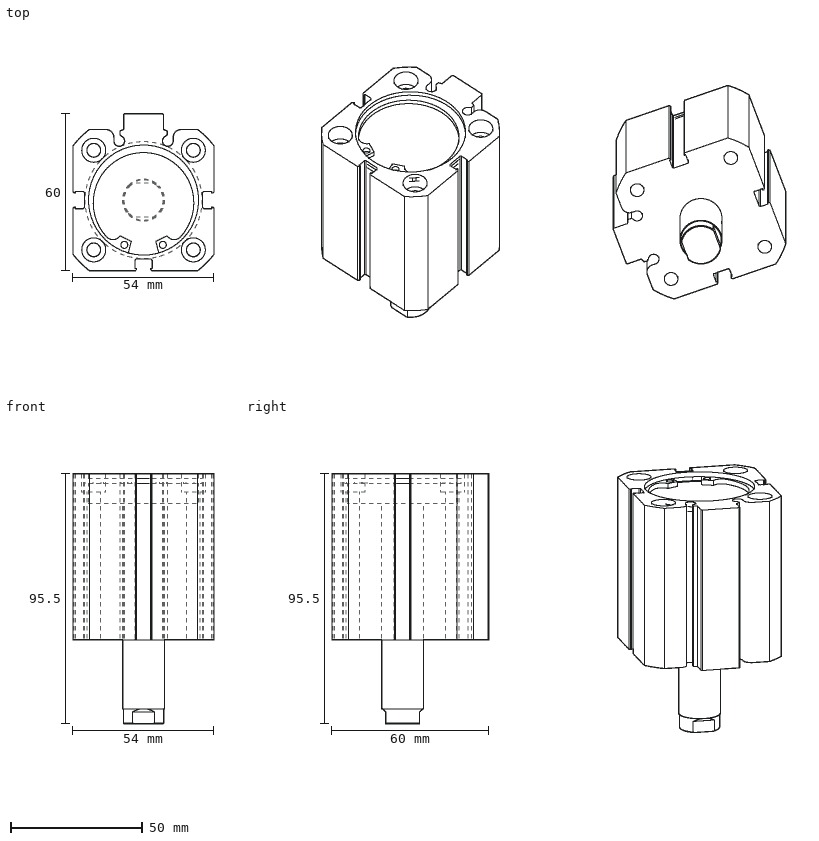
import cadquery as cq
import math


total_length = 95.5
total_depth = 60.0
body_width = 54.0
body_length = 63.5
half_body = body_width / 2
corner_radius = 34.0

slot_depth = 4.4
slot_half_width = 3.2
slot_mouth_half_width = 2.7
slot_lip_depth = 1.0
slot_mouth_bevel = 0.5
slot_floor_chamfer = 0.4

rail_top = total_depth - half_body
rail_half_width = 7.6
rail_corner_chamfer = 0.4
rail_bead_half_width = 9.1
rail_bead_top = 26.4
rail_bead_bottom = 24.9
relief_radius = 2.0
relief_x = 9.3
relief_y = 22.5
relief_entry_angle = math.radians(65)
shoulder_radius = 3.15

hole_offset = 19.0
hole_radius = 2.6
counterbore_radius = 4.6
counterbore_depth = 7.0

bore_radius = 21.0
ring_drop = 1.9
ring_thickness = 1.9
groove_radius = 22.3
cover_thickness = 7.6
ring_top = body_length - ring_drop
ring_bottom = ring_top - ring_thickness
cover_bottom = ring_bottom - cover_thickness

ring_opening_radius = 19.2
ring_opening_y = -1.05
ear_outer_corner = (9.0, -13.7)
ear_inner_corner = (4.7, -15.8)
ear_hollow_middle = (12.0, -15.1)
ear_hollow_end_x = 14.1
ear_hole_x = 7.4
ear_hole_y = -17.1
ear_hole_radius = 1.3
gap_angle = math.radians(16)

rod_radius = 8.0
tip_radius = 7.7
tip_length = 5.7
tip_chamfer = 0.3
flat_distance = 6.5
rod_end = body_length - total_length
tip_top = rod_end + tip_length


def both_sides(x, y):
    """Return a point and its mirror image across the YZ plane."""
    return [(x, y), (-x, y)]


def make_profile():
    """Square block with turned corners and the guide rail on its +Y side."""
    block = cq.Workplane("XY").rect(body_width, body_width).extrude(body_length)
    block = block.intersect(cq.Workplane("XY").circle(corner_radius).extrude(body_length))

    relief_left = relief_x + relief_radius
    shoulder_bottom = half_body - shoulder_radius
    shoulder_diagonal = shoulder_radius * (1 - math.sqrt(0.5))
    entry = (
        relief_x - relief_radius * math.cos(relief_entry_angle),
        relief_y + relief_radius * math.sin(relief_entry_angle),
    )
    side_trim = (
        cq.Workplane("XY")
        .moveTo(relief_left + shoulder_radius, half_body)
        .threePointArc(
            (relief_left + shoulder_diagonal, half_body - shoulder_diagonal),
            (relief_left, shoulder_bottom),
        )
        .lineTo(relief_left, relief_y)
        .threePointArc((relief_x, relief_y - relief_radius), (relief_x - relief_radius, relief_y))
        .threePointArc(
            (
                relief_x - relief_radius * math.cos(relief_entry_angle / 2),
                relief_y + relief_radius * math.sin(relief_entry_angle / 2),
            ),
            entry,
        )
        .lineTo(rail_bead_half_width, rail_bead_bottom)
        .lineTo(rail_bead_half_width, rail_bead_top)
        .lineTo(rail_half_width, half_body)
        .close()
        .extrude(body_length)
    )

    rail_height = rail_top - half_body
    rail = (
        cq.Workplane("XY")
        .center(0, half_body + rail_height / 2)
        .rect(2 * rail_half_width, rail_height)
        .extrude(body_length)
        .edges("|Z and >Y")
        .chamfer(rail_corner_chamfer)
    )
    return block.union(rail).cut(side_trim).cut(side_trim.mirror("YZ"))


def make_sensor_slot():
    """Slot in the -Y side with chamfered floor corners and a bevelled lip on each side."""
    mouth = -half_body
    floor = mouth + slot_depth
    outline = [
        (slot_mouth_half_width + slot_mouth_bevel, mouth),
        (slot_mouth_half_width, mouth + slot_mouth_bevel),
        (slot_mouth_half_width, mouth + slot_lip_depth),
        (slot_half_width, mouth + slot_lip_depth),
        (slot_half_width, floor - slot_floor_chamfer),
        (slot_half_width - slot_floor_chamfer, floor),
    ]
    mirrored = [(-x, y) for x, y in reversed(outline)]
    return cq.Workplane("XY").polyline(outline + mirrored).close().extrude(body_length)


def make_housing():
    """Slotted profile with four mounting holes, the cover bore, the ring groove and the rod hole."""
    body = make_profile()
    for angle in (-90, 0, 90):
        body = body.cut(make_sensor_slot().rotate((0, 0, 0), (0, 0, 1), angle))

    hole_points = both_sides(hole_offset, hole_offset) + both_sides(hole_offset, -hole_offset)
    body = (
        body.faces(">Z")
        .workplane(origin=(0, 0, body_length))
        .pushPoints(hole_points)
        .cboreHole(2 * hole_radius, 2 * counterbore_radius, counterbore_depth)
    )

    bore = cq.Workplane("XY").workplane(offset=cover_bottom).circle(bore_radius)
    groove = cq.Workplane("XY").workplane(offset=ring_bottom).circle(groove_radius)
    rod_hole = cq.Workplane("XY").circle(rod_radius)
    body = body.cut(bore.extrude(body_length - cover_bottom))
    body = body.cut(groove.extrude(ring_thickness))
    return body.cut(rod_hole.extrude(cover_bottom))


def make_cover():
    """Plain disc that closes the bore below the snap ring."""
    return cq.Workplane("XY").workplane(offset=cover_bottom).circle(bore_radius).extrude(cover_thickness)


def make_snap_ring():
    """Ring open at -Y, with a drilled ear on each side of the gap."""
    hollow_end_y = ring_opening_y - math.sqrt(ring_opening_radius**2 - ear_hollow_end_x**2)
    gap_end = (groove_radius * math.sin(gap_angle), -groove_radius * math.cos(gap_angle))
    ring = (
        cq.Workplane("XY")
        .workplane(offset=ring_bottom)
        .moveTo(*gap_end)
        .threePointArc((0, groove_radius), (-gap_end[0], gap_end[1]))
        .lineTo(-ear_inner_corner[0], ear_inner_corner[1])
        .lineTo(-ear_outer_corner[0], ear_outer_corner[1])
        .threePointArc(
            (-ear_hollow_middle[0], ear_hollow_middle[1]),
            (-ear_hollow_end_x, hollow_end_y),
        )
        .threePointArc(
            (0, ring_opening_y + ring_opening_radius),
            (ear_hollow_end_x, hollow_end_y),
        )
        .threePointArc(ear_hollow_middle, ear_outer_corner)
        .lineTo(*ear_inner_corner)
        .close()
        .extrude(ring_thickness)
    )
    ear_holes = (
        cq.Workplane("XY")
        .workplane(offset=ring_bottom)
        .pushPoints(both_sides(ear_hole_x, ear_hole_y))
        .circle(ear_hole_radius)
        .extrude(ring_thickness)
    )
    return ring.cut(ear_holes)


def make_rod():
    """Rod reaching up to the end cover, with a slimmer tip that has two wrench flats."""
    shaft = cq.Workplane("XY").workplane(offset=tip_top).circle(rod_radius).extrude(cover_bottom - tip_top)
    tip = (
        cq.Workplane("XY")
        .workplane(offset=rod_end)
        .circle(tip_radius)
        .extrude(tip_length)
        .faces("<Z")
        .chamfer(tip_chamfer)
    )

    flat_top = tip_top - (tip_radius - flat_distance)
    flat_cut = (
        cq.Workplane("YZ")
        .polyline([
            (-tip_radius, tip_top),
            (-flat_distance, flat_top),
            (-flat_distance, rod_end),
            (-tip_radius, rod_end),
        ])
        .close()
        .extrude(tip_radius, both=True)
    )
    tip = tip.cut(flat_cut).cut(flat_cut.mirror("XZ"))
    return shaft.union(tip)


housing = make_housing()
cover = make_cover()
snap_ring = make_snap_ring()
rod = make_rod()

result = cq.Compound.makeCompound([housing.val(), cover.val(), snap_ring.val(), rod.val()])